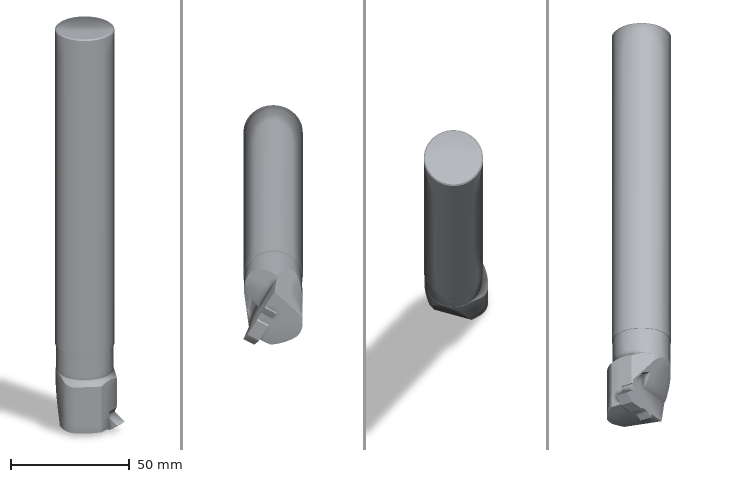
import cadquery as cq
import math

TOTAL_HEIGHT = 182
SHANK_DIAMETER = 25.0
NECK_DIAMETER = 24.4
SHANK_BOTTOM = 37.0
NECK_BOTTOM = 25.3
HEAD_BOTTOM = 1.6
TOP_CHAMFER = 0.5
NECK_RADIUS = NECK_DIAMETER / 2
HEAD_CORE_DIAMETER = 24.5
HEAD_CORE_RADIUS = HEAD_CORE_DIAMETER / 2

BULGE_REACH = 14.84
FRONT_RADIUS = 21.8
BLEND_RADIUS = 7.3
BULGE_ARC_START_X = 1.1
BULGE_ARC_END_X = 11.5
BULGE_ARC_END_Y = -9.5
NOSE_X = 14.4
NOSE_Y = 0.4

RELIEF_TOP_X = -HEAD_CORE_RADIUS
RELIEF_TOP_Z = 24.5
RELIEF_BOTTOM_X = -7.3
CUTTER_SIZE = 36.4

RAKE_ANGLE = 15
RAKE_Y = 4.5
RUNOUT_START_Z = 11.6
RUNOUT_ANGLE = 30

INSERT_TIPS = 3
INSERT_THICKNESS = 5.5
INSERT_CENTER_U = 8.5
TIP_RADIUS = 11.0
TIP_ANGLE = -18.3
VALLEY = (5.1, 0.0)
HEEL = (6.5, -6.4)
LAND_END = (-1.1, -6.4)
SEAT_RELIEF_TOP = 10.0
SEAT_RELIEF_START_U = 12.7

TIP_STEP = 360 / INSERT_TIPS
INSERT_CENTER_Z = -TIP_RADIUS * math.sin(math.radians(TIP_ANGLE - TIP_STEP))

rake_sine = math.sin(math.radians(RAKE_ANGLE))
rake_cosine = math.cos(math.radians(RAKE_ANGLE))
rake_plane = cq.Plane(
    origin=(0, RAKE_Y, 0),
    xDir=(rake_cosine, -rake_sine, 0),
    normal=(-rake_sine, -rake_cosine, 0),
)


def make_shank_and_neck():
    shank = (
        cq.Workplane("XY", origin=(0, 0, SHANK_BOTTOM))
        .circle(SHANK_DIAMETER / 2)
        .extrude(TOTAL_HEIGHT - SHANK_BOTTOM)
        .faces(">Z")
        .chamfer(TOP_CHAMFER)
    )
    neck = (
        cq.Workplane("XY", origin=(0, 0, NECK_BOTTOM))
        .circle(NECK_RADIUS)
        .extrude(SHANK_BOTTOM - NECK_BOTTOM)
    )
    return shank.union(neck)


def make_head():
    """Round head with a bulge on its -Y side, topped by a 45 degree cone."""
    diagonal = math.sqrt(0.5)
    tangent = HEAD_CORE_RADIUS * diagonal
    blend_start_y = -BULGE_REACH + BLEND_RADIUS * (1 - diagonal)
    blend_start_x = -2 * tangent - blend_start_y
    blend_end_x = blend_start_x + BLEND_RADIUS * diagonal
    height = NECK_BOTTOM - HEAD_BOTTOM
    head = (
        cq.Workplane("XY", origin=(0, 0, HEAD_BOTTOM))
        .moveTo(-tangent, -tangent)
        .lineTo(blend_start_x, blend_start_y)
        .radiusArc((blend_end_x, -BULGE_REACH), -BLEND_RADIUS)
        .lineTo(BULGE_ARC_START_X, -BULGE_REACH)
        .radiusArc((BULGE_ARC_END_X, BULGE_ARC_END_Y), -FRONT_RADIUS)
        .lineTo(NOSE_X, NOSE_Y)
        .lineTo(tangent, tangent)
        .threePointArc((-tangent, tangent), (-tangent, -tangent))
        .close()
        .extrude(height)
    )
    cone = cq.Workplane("XY", origin=(0, 0, NECK_BOTTOM)).circle(NECK_RADIUS).extrude(-height, taper=-45)
    return head.intersect(cone)


def make_side_relief():
    slope = (RELIEF_BOTTOM_X - RELIEF_TOP_X) / (RELIEF_TOP_Z - HEAD_BOTTOM)
    return (
        cq.Workplane("XZ")
        .moveTo(RELIEF_TOP_X, RELIEF_TOP_Z)
        .lineTo(RELIEF_BOTTOM_X + slope * HEAD_BOTTOM, 0)
        .lineTo(-CUTTER_SIZE, 0)
        .lineTo(-CUTTER_SIZE, RELIEF_TOP_Z)
        .close()
        .extrude(CUTTER_SIZE, both=True)
    )


def make_chip_pocket():
    """Flat pocket on the rake plane that runs out along an upper slope."""
    runout_height = CUTTER_SIZE / math.tan(math.radians(RUNOUT_ANGLE))
    section_plane = cq.Plane(
        origin=(0, RAKE_Y, 0),
        xDir=(rake_sine, rake_cosine, 0),
        normal=(rake_cosine, -rake_sine, 0),
    )
    return (
        cq.Workplane(section_plane)
        .moveTo(0, 0)
        .lineTo(0, RUNOUT_START_Z)
        .lineTo(CUTTER_SIZE, RUNOUT_START_Z + runout_height)
        .lineTo(CUTTER_SIZE, 0)
        .close()
        .extrude(CUTTER_SIZE, both=True)
    )


def insert_outline():
    tip_radians = math.radians(TIP_ANGLE)
    tip = (TIP_RADIUS * math.cos(tip_radians), TIP_RADIUS * math.sin(tip_radians))
    points = []
    for index in range(INSERT_TIPS):
        turn = math.radians(-index * TIP_STEP)
        for u, v in (VALLEY, tip, HEEL, LAND_END):
            points.append((
                INSERT_CENTER_U + u * math.cos(turn) - v * math.sin(turn),
                INSERT_CENTER_Z + u * math.sin(turn) + v * math.cos(turn),
            ))
    return cq.Workplane(rake_plane).polyline(points).close()


def make_insert():
    return insert_outline().extrude(INSERT_THICKNESS)


def make_insert_seat():
    """Recess for the insert, open toward +Y, with the head cleared beyond the tip."""
    seat = make_insert()
    opening = insert_outline().extrude(-CUTTER_SIZE)
    tip_relief = (
        cq.Workplane(rake_plane)
        .moveTo(SEAT_RELIEF_START_U, 0)
        .lineTo(CUTTER_SIZE, 0)
        .lineTo(CUTTER_SIZE, SEAT_RELIEF_TOP)
        .lineTo(SEAT_RELIEF_START_U, SEAT_RELIEF_TOP)
        .close()
        .extrude(INSERT_THICKNESS)
    )
    return seat.union(opening).union(tip_relief)


def make_bar():
    bar = make_shank_and_neck().union(make_head())
    bar = bar.cut(make_side_relief())
    bar = bar.cut(make_chip_pocket())
    return bar.cut(make_insert_seat())


bar = make_bar()
insert = make_insert()
result = cq.Compound.makeCompound([bar.val(), insert.val()])